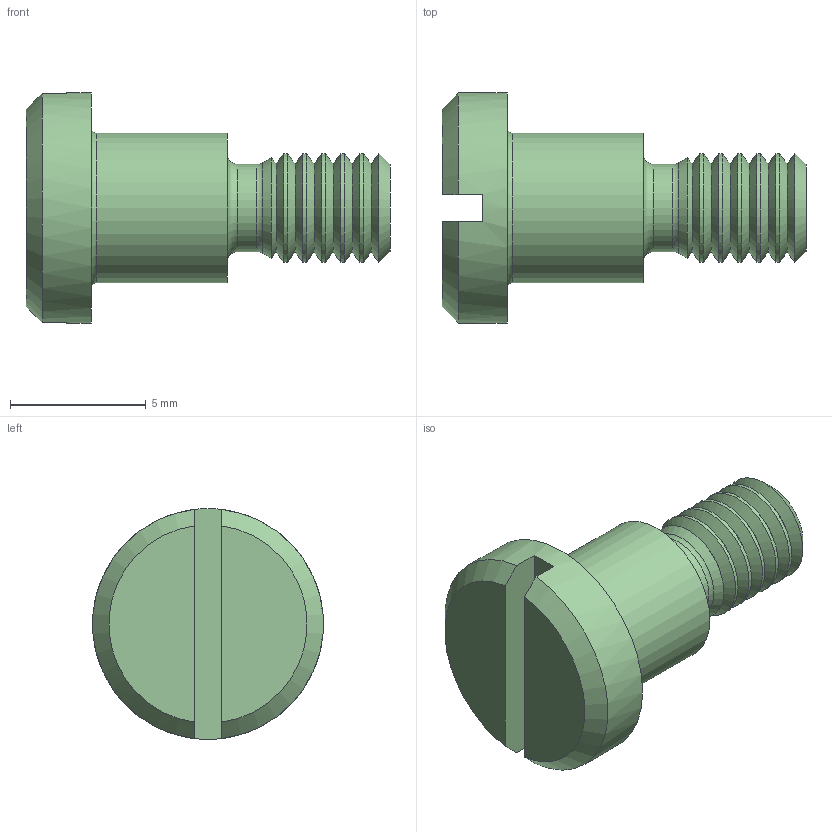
import cadquery as cq
import math


head_length = 2.4
shoulder_length = 5.0
thread_length = 6.0
shoulder_end = head_length + shoulder_length
screw_length = shoulder_end + thread_length

head_radius = 8.5 / 2
head_chamfer = 0.6
slot_width = 1.0
slot_depth = 1.5

shoulder_radius = 5.5 / 2
shoulder_fillet = 0.2

thread_radius = 4.0 / 2
thread_pitch = 0.7
thread_depth = 0.385
crest_width = 0.13
ring_count = 5
root_radius = thread_radius - thread_depth
flank_length = (thread_pitch - crest_width) / 2
tip_length = 0.41
tip_radius = 1.6
last_crest = screw_length - tip_length
first_root = last_crest - flank_length - ring_count * thread_pitch

neck_radius = 1.605
neck_fillet = 0.4
runout_angle = math.radians(30)
runout_peak_radius = 1.85
runout_arc_length = neck_fillet * math.sin(runout_angle)
runout_arc_rise = neck_fillet * (1 - math.cos(runout_angle))
runout_cone_rise = runout_peak_radius - neck_radius - runout_arc_rise
runout_cone_length = runout_cone_rise / math.tan(runout_angle)
runout_peak = first_root - flank_length * (runout_peak_radius - root_radius) / thread_depth
runout_cone_start = runout_peak - runout_cone_length
neck_end = runout_cone_start - runout_arc_length


def add_head(outline):
    """Chamfered disc, ending at the fillet under the head."""
    return (
        outline.moveTo(0, 0)
        .lineTo(0, head_radius - head_chamfer)
        .lineTo(head_chamfer, head_radius)
        .lineTo(head_length, head_radius)
        .lineTo(head_length, shoulder_radius + shoulder_fillet)
    )


def add_shoulder(outline):
    """Fillet under the head and the plain shoulder with its end face."""
    return (
        outline.radiusArc((head_length + shoulder_fillet, shoulder_radius), -shoulder_fillet)
        .lineTo(shoulder_end, shoulder_radius)
        .lineTo(shoulder_end, neck_radius + neck_fillet)
    )


def add_neck(outline):
    """Filleted neck that flares out to a peak and drops to the first thread root."""
    return (
        outline.radiusArc((shoulder_end + neck_fillet, neck_radius), -neck_fillet)
        .lineTo(neck_end, neck_radius)
        .radiusArc((runout_cone_start, neck_radius + runout_arc_rise), -neck_fillet)
        .lineTo(runout_peak, runout_peak_radius)
        .lineTo(first_root, root_radius)
    )


def add_thread(outline):
    """Thread rings with flat crests and sharp roots, then the chamfered tip."""
    for ring in range(ring_count):
        root = first_root + ring * thread_pitch
        outline = (
            outline.lineTo(root + flank_length, thread_radius)
            .lineTo(root + flank_length + crest_width, thread_radius)
            .lineTo(root + thread_pitch, root_radius)
        )
    return (
        outline.lineTo(last_crest, thread_radius)
        .lineTo(screw_length, tip_radius)
        .lineTo(screw_length, 0)
    )


def make_screw_body():
    """Revolve the half outline about the X axis."""
    outline = cq.Workplane("XZ")
    for add_section in (add_head, add_shoulder, add_neck, add_thread):
        outline = add_section(outline)
    return outline.close().revolve(360, (0, 0, 0), (1, 0, 0))


def make_driver_slot():
    """Slot across the whole head along Z, open at the head face."""
    return cq.Workplane("XY").box(
        slot_depth, slot_width, 2 * head_radius, centered=(False, True, True)
    )


result = make_screw_body().cut(make_driver_slot())